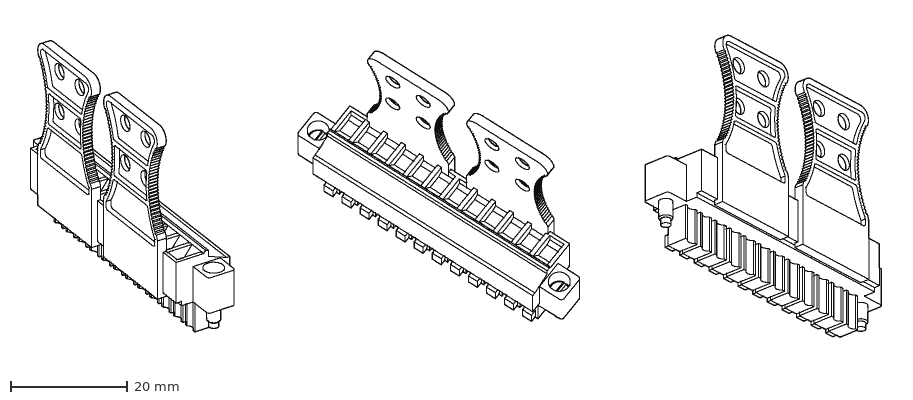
import cadquery as cq
import math


pole_count = 12
pole_pitch = 3.8
pole_positions = [(i - (pole_count - 1) / 2) * pole_pitch for i in range(pole_count)]

block_length = 46.45
block_front_y = 1.2
block_back_y = 12.2
underside_z = 6.6
step_height = 0.85
step_z = underside_z + step_height
underside_front_inset = 1.1
deck_z = 15.6
back_edge_z = 13.35
back_edge_depth = 0.7
slope_top_z = 14.7
bead_width = 1.0
bead_radius = 0.45
bead_bevel_drop = 0.15
bead_front_y = 6.85
front_wall = 0.7

pocket_width = 3.0
pocket_floor_z = 13.45
pocket_floor_front_y = 2.7
pocket_floor_back_y = 5.2
pocket_lip_z = pocket_floor_z + 0.55

flange_front_y = 4.65
flange_back_y = 10.2
flange_top_z = 13.7
flange_edge_radius = 0.55
total_length = 56.1

finger_width = 3.0
finger_front_y = 5.5
finger_back_y = 9.55
finger_groove_width = 1.9
finger_groove_radius = 1.1
catch_width = finger_groove_width
catch_depth = 1.2
catch_bottom_z = 0.3
catch_height = 2.25

screw_x = 25.5
screw_y = (flange_front_y + flange_back_y) / 2
screw_head_diameter = 3.75
screw_head_bottom_z = 8.4
screw_head_height = 2.25
screw_head_chamfer = 0.3
screw_slot_width = 0.7
screw_slot_depth = 0.7
screw_shank_diameter = 2.45
screw_shank_end_z = 3.4
screw_tip_diameter = 1.8
screw_tip_z = 2.1
screw_taper_height = 0.3

handle_spacing = 5.5 * pole_pitch
handle_centres = [-handle_spacing / 2, handle_spacing / 2]
handle_width = 17.2
handle_thickness = block_front_y + front_wall
handle_top_z = 39.7
head_width = 17.1
head_corner_radius = 2.0
shoulder_inset = 0.15
shoulder_top_z = 18.75
shoulder_bottom_z = 18.25
waist_z = 27.8
waist_half_width = 5.95
waist_radius = 17.5
tooth_count = 28
tooth_angle = math.radians(2.1)
tooth_depth = 0.3
waist_axis_x = waist_half_width + waist_radius
waist_half_angle = tooth_count * tooth_angle / 2
rim_width = 0.95
recess_depth = 1.0
upper_recess = (handle_width / 2, 31.6, 38.5, 0.35, 0.9)
middle_recess = (handle_width / 2, 24.5, 30.6, 0.35, 0.35)
lower_recess = (7.75, 16.55, 23.7, 0.55, 0.55)
grip_hole_diameter = 2.9
grip_hole_spacing = 6.45
grip_hole_heights = [27.65, 35.6]


def box(x_range, y_range, z_range):
    """Axis-aligned block between the given limits."""
    lows, highs = zip(x_range, y_range, z_range)
    sizes = [high - low for low, high in zip(lows, highs)]
    return cq.Workplane("XY").box(*sizes, centered=False).translate(lows)


def centred(middle, width):
    """Limits of a span of the given width about its middle."""
    return (middle - width / 2, middle + width / 2)


def upright_cylinder(x, y, diameter, z_low, z_high):
    return cq.Workplane("XY", origin=(x, y, z_low)).circle(diameter / 2).extrude(z_high - z_low)


def cross_cylinder(x, z, radius, depth):
    """Cylinder along Y, from the front plane of the handles backwards."""
    return cq.Workplane("XZ", origin=(x, 0, z)).circle(radius).extrude(-depth)


def make_block():
    bead_back_y = bead_front_y + bead_width
    bead_top_z = deck_z + bead_radius
    notch_back_y = block_front_y + underside_front_inset
    profile = (
        cq.Workplane("YZ", origin=(-block_length / 2, 0, 0))
        .moveTo(block_front_y, step_z)
        .lineTo(block_front_y, deck_z)
        .lineTo(bead_front_y, deck_z)
        .radiusArc((bead_front_y + bead_radius, bead_top_z), bead_radius)
        .lineTo(bead_back_y, bead_top_z - bead_bevel_drop)
        .lineTo(bead_back_y, slope_top_z)
        .lineTo(block_back_y - back_edge_depth, back_edge_z)
        .lineTo(block_back_y, back_edge_z)
        .lineTo(block_back_y, step_z)
        .lineTo(flange_back_y, step_z)
        .lineTo(flange_back_y, underside_z)
        .lineTo(notch_back_y, underside_z)
        .lineTo(notch_back_y, step_z)
        .close()
    )
    return profile.extrude(block_length)


def make_wire_pocket(x):
    outline = [
        (block_front_y + front_wall, deck_z),
        (block_front_y + front_wall, pocket_lip_z),
        (pocket_floor_front_y, pocket_floor_z),
        (pocket_floor_back_y, pocket_floor_z),
        (bead_front_y, deck_z),
    ]
    start = (x - pocket_width / 2, 0, 0)
    return cq.Workplane("YZ", origin=start).polyline(outline).close().extrude(pocket_width)


def make_flanges():
    flanges = box(
        centred(0, total_length), (flange_front_y, flange_back_y), (underside_z, flange_top_z)
    )
    return flanges.edges("|Z").fillet(flange_edge_radius)


def make_finger(x):
    finger = box(
        centred(x, finger_width), (finger_front_y, finger_back_y), (0, underside_z)
    )
    groove_axis_inset = math.sqrt(finger_groove_radius**2 - (finger_groove_width / 2) ** 2)
    groove = upright_cylinder(
        x, finger_front_y - groove_axis_inset, 2 * finger_groove_radius, 0, underside_z
    )
    catch = box(
        centred(x, catch_width),
        (finger_back_y, finger_back_y + catch_depth),
        (catch_bottom_z, catch_bottom_z + catch_height),
    )
    return finger.cut(groove).union(catch)


def make_handle_seat(x):
    """Opening in the front wall that the handle plate fills."""
    return box(centred(x, handle_width), (0, handle_thickness), (underside_z, deck_z))


def make_housing():
    housing = make_block().union(make_flanges())
    for x in pole_positions:
        housing = housing.union(make_finger(x))
        housing = housing.cut(make_wire_pocket(x))
    for x in handle_centres:
        housing = housing.cut(make_handle_seat(x))
    for x in (-screw_x, screw_x):
        housing = housing.cut(
            upright_cylinder(x, screw_y, screw_head_diameter, screw_head_bottom_z, flange_top_z)
        )
        housing = housing.cut(
            upright_cylinder(x, screw_y, screw_shank_diameter, underside_z, screw_head_bottom_z)
        )
    return housing


def make_screw(x):
    head_top_z = screw_head_bottom_z + screw_head_height
    head = upright_cylinder(x, screw_y, screw_head_diameter, screw_head_bottom_z, head_top_z)
    head = head.faces(">Z").chamfer(screw_head_chamfer)
    slot = box(
        centred(x, screw_slot_width),
        centred(screw_y, screw_head_diameter),
        (head_top_z - screw_slot_depth, head_top_z),
    )
    shank = upright_cylinder(
        x, screw_y, screw_shank_diameter, screw_shank_end_z - screw_taper_height, screw_head_bottom_z
    )
    shank = shank.faces("<Z").chamfer(screw_taper_height)
    tip = upright_cylinder(x, screw_y, screw_tip_diameter, screw_tip_z, screw_shank_end_z)
    return head.cut(slot).union(shank).union(tip)


def waist_point(angle, depth=0.0):
    """Point on the right-hand waist arc, or the given depth inside it, at an angle above the waist."""
    radius = waist_radius + depth
    return (waist_axis_x - radius * math.cos(angle), waist_z + radius * math.sin(angle))


def make_plate():
    waist_top = waist_point(waist_half_angle)
    waist_bottom = waist_point(-waist_half_angle)
    half = (
        cq.Workplane("XZ")
        .moveTo(0, underside_z)
        .lineTo(handle_width / 2, underside_z)
        .lineTo(handle_width / 2, shoulder_bottom_z)
        .lineTo(handle_width / 2 - shoulder_inset, shoulder_top_z)
        .lineTo(*waist_bottom)
        .threePointArc(waist_point(0), waist_top)
        .threePointArc(
            (head_width / 2, handle_top_z - head_corner_radius),
            (head_width / 2 - head_corner_radius, handle_top_z),
        )
        .lineTo(0, handle_top_z)
        .close()
        .extrude(-handle_thickness)
    )
    return half.union(half.mirror("YZ"))


def make_teeth_cutter():
    """Row of V grooves along the right-hand waist arc."""
    outline = [(waist_axis_x, waist_z)]
    for i in range(2 * tooth_count + 1):
        outline.append(waist_point((i - tooth_count) * tooth_angle / 2, tooth_depth * (i % 2)))
    return cq.Workplane("XZ").polyline(outline).close().extrude(-handle_thickness)


def make_recess(half_width, z_low, z_high, low_radius, high_radius):
    """Shallow front recess whose sides keep a constant rim along the waist."""
    recess = box((-half_width, half_width), (0, recess_depth), (z_low, z_high))
    for side in (-1, 1):
        recess = recess.cut(
            cross_cylinder(side * waist_axis_x, waist_z, waist_radius + rim_width, recess_depth)
        )
    recess = recess.faces(">Z").edges("<X or >X").fillet(high_radius)
    return recess.faces("<Z").edges("<X or >X").fillet(low_radius)


def make_handle():
    teeth_cutter = make_teeth_cutter()
    handle = make_plate().cut(teeth_cutter).cut(teeth_cutter.mirror("YZ"))
    for recess in (upper_recess, middle_recess, lower_recess):
        handle = handle.cut(make_recess(*recess))
    for z in grip_hole_heights:
        for x in centred(0, grip_hole_spacing):
            handle = handle.cut(cross_cylinder(x, z, grip_hole_diameter / 2, handle_thickness))
    return handle


housing = make_housing()
screws = [make_screw(x) for x in (-screw_x, screw_x)]
handle = make_handle()
handles = [handle.translate((x, 0, 0)) for x in handle_centres]

result = cq.Compound.makeCompound(
    [housing.val()] + [screw.val() for screw in screws] + [placed.val() for placed in handles]
)